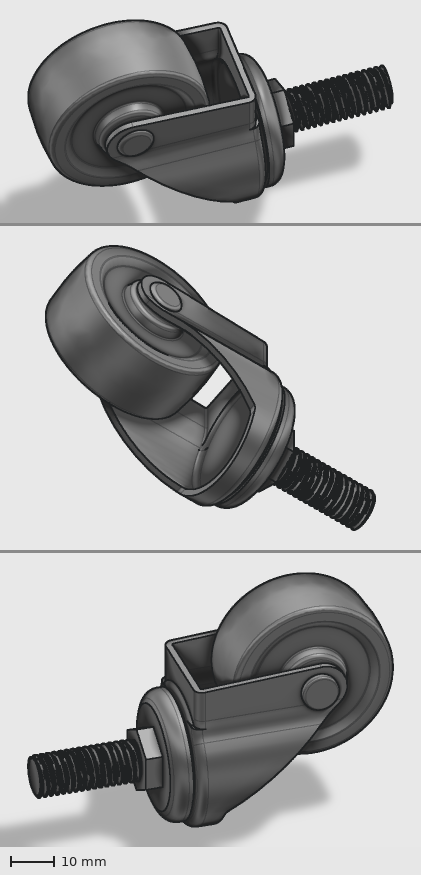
import cadquery as cq
import math


CUP_DIAMETER = 35.0
CUP_RADIUS = CUP_DIAMETER / 2
WALL = 1.6
CUP_OUTER_ROUND = 2.0
CUP_INNER_ROUND = 1.4
ARM_OUTER_HALF_WIDTH = 12.5
ARM_BLEND_RADIUS = 8.2
ARM_BACK_STEP = 0.8
OUTER_STEP_Z = 13.2
INNER_STEP_Z = 8.9
ARM_OUTER_ROUND = 2.1
ARM_INNER_ROUND = ARM_OUTER_ROUND - WALL
ARM_BACK_HEIGHT = 22.7
ARM_END_RADIUS = 5.95
ARM_END_PAST_AXLE = 0.9
LIP_LENGTH = 5.7
LIP_NOTCH_DEPTH = 7.1
LIP_NOTCH_Z = -8.5
LIP_NOTCH_ROUND = 1.7

AXLE_Y = -30.45
AXLE_Z = 18.55
AXLE_RADIUS = 3.0
HEAD_RADIUS = 4.4
HEAD_LENGTH = 2.0
HEAD_ROUND = 0.5
RIVET_LENGTH = 0.8
RIVET_FACE_RADIUS = 3.4
RIVET_BULGE = 0.2

WHEEL_RADIUS = 20.0
WHEEL_HALF_WIDTH = 8.7
TREAD_SHOULDER_RADIUS = 19.4
TREAD_EDGE_ROUND = 1.2
RECESS_RIM_RADIUS = 15.9
RECESS_FLOOR_RADIUS = 13.95
RECESS_DEPTH = 1.4
RECESS_ROUND = 0.4
HUB_BASE_RADIUS = 8.4
HUB_SHOULDER_RADIUS = 7.65
HUB_HALF_WIDTH = 10.2
HUB_ROUND = 1.2

NECK_LENGTH = 0.9
NECK_FORK_RADIUS = 13.6
NECK_COLLAR_RADIUS = 14.5
COLLAR_RADIUS = 15.7
COLLAR_LENGTH = 4.7
COLLAR_RIM_LENGTH = 1.1
COLLAR_FACE_RADIUS = 12.7
COLLAR_BEVEL_RADIUS = 13.8
COLLAR_BEVEL_DEPTH = 0.5
HEX_CORNER_DIAMETER = 16.25
HEX_LENGTH = 4.1
THREAD_LENGTH = 24.9
THREAD_DIAMETER = 10.0
THREAD_PITCH = 1.5
THREAD_DEPTH = 0.9
THREAD_CREST_SHARE = 1 / 8
THREAD_ROOT_SHARE = 1 / 8
FLANK_CURVE_STEPS = 4

COLLAR_Y = NECK_LENGTH
HEX_Y = COLLAR_Y + COLLAR_LENGTH
THREAD_Y = HEX_Y + HEX_LENGTH

STOCK_FRONT_Y = AXLE_Y - 2 * ARM_END_RADIUS
STOCK_TOP_Z = AXLE_Z + 2 * ARM_END_RADIUS


def y_cylinder(radius, start_y, length):
    """Cylinder on the stem axis, growing toward +Y."""
    return cq.Workplane("XZ", origin=(0, start_y, 0)).circle(radius).extrude(-length)


def x_cylinder(radius, start_x, length):
    """Cylinder on the wheel axis, growing toward +X."""
    return cq.Workplane("YZ", origin=(start_x, AXLE_Y, AXLE_Z)).circle(radius).extrude(length)


def fork_form(cup_radius, half_width, blend_radius, cup_back, arm_back, step_z, cup_round, arm_round):
    """Round cup below and parallel arm sides above, joined by tangent blends.

    The cup reaches cup_back everywhere; the rest of the outline reaches cup_back below
    step_z and only arm_back above it.
    """
    cup = y_cylinder(cup_radius, STOCK_FRONT_Y, cup_back - STOCK_FRONT_Y)
    cup = cup.faces(">Y").edges().fillet(cup_round)

    blend_x = half_width + blend_radius
    blend_z = math.sqrt((cup_radius + blend_radius) ** 2 - blend_x**2)
    blend_angle = math.atan2(blend_z, blend_x)
    touch_x = cup_radius * math.cos(blend_angle)
    touch_z = cup_radius * math.sin(blend_angle)
    mid_x = blend_x - blend_radius * math.cos(blend_angle / 2)
    mid_z = blend_z - blend_radius * math.sin(blend_angle / 2)

    def full_outline(back_y, edge_round):
        outline = (
            cq.Workplane("XZ", origin=(0, back_y, 0))
            .moveTo(half_width, STOCK_TOP_Z)
            .lineTo(half_width, blend_z)
            .threePointArc((mid_x, mid_z), (touch_x, touch_z))
            .threePointArc((0, -cup_radius), (-touch_x, touch_z))
            .threePointArc((-mid_x, mid_z), (-half_width, blend_z))
            .lineTo(-half_width, STOCK_TOP_Z)
            .close()
            .extrude(back_y - STOCK_FRONT_Y)
        )
        return outline.faces(">Y").edges("not |X").fillet(edge_round)

    above_step = (
        cq.Workplane("XY", origin=(0, 0, step_z))
        .rect(CUP_DIAMETER, -2 * STOCK_FRONT_Y)
        .extrude(STOCK_TOP_Z)
    )
    lower = full_outline(cup_back, cup_round).cut(above_step)
    upper = full_outline(arm_back, arm_round).intersect(above_step)
    return lower.union(upper).union(cup)


def tangent_point(point, center, radius, side):
    """Point where the line from an outside point touches a circle; side is +1 or -1."""
    dy = point[0] - center[0]
    dz = point[1] - center[1]
    angle = math.atan2(dz, dy) + side * math.acos(radius / math.hypot(dy, dz))
    return (center[0] + radius * math.cos(angle), center[1] + radius * math.sin(angle))


def fork_side_trim():
    """Side outline of the fork, extruded across its full width."""
    arm_end = (AXLE_Y - ARM_END_PAST_AXLE, AXLE_Z)
    notch = (-LIP_NOTCH_DEPTH, LIP_NOTCH_Z)
    back_top = (-ARM_BACK_STEP, ARM_BACK_HEIGHT)
    lower_touch = tangent_point(notch, arm_end, ARM_END_RADIUS, -1)
    upper_touch = tangent_point(back_top, arm_end, ARM_END_RADIUS, 1)
    trim = (
        cq.Workplane("YZ", origin=(-CUP_RADIUS, 0, 0))
        .moveTo(0, -CUP_RADIUS)
        .lineTo(-LIP_LENGTH, -CUP_RADIUS)
        .lineTo(*notch)
        .lineTo(*lower_touch)
        .threePointArc((arm_end[0] - ARM_END_RADIUS, arm_end[1]), upper_touch)
        .lineTo(*back_top)
        .lineTo(0, ARM_BACK_HEIGHT)
        .close()
        .extrude(CUP_DIAMETER)
    )
    notch_edge = cq.selectors.NearestToPointSelector((0, *notch))
    return trim.edges("|X").edges(notch_edge).fillet(LIP_NOTCH_ROUND)


def make_fork():
    """Pressed sheet fork: the outer form less the inner form, trimmed to its side outline."""
    outside = fork_form(
        CUP_RADIUS,
        ARM_OUTER_HALF_WIDTH,
        ARM_BLEND_RADIUS,
        0,
        -ARM_BACK_STEP,
        OUTER_STEP_Z,
        CUP_OUTER_ROUND,
        ARM_OUTER_ROUND,
    )
    inside = fork_form(
        CUP_RADIUS - WALL,
        ARM_OUTER_HALF_WIDTH - WALL,
        ARM_BLEND_RADIUS + WALL,
        -WALL,
        -ARM_BACK_STEP - WALL,
        INNER_STEP_Z,
        CUP_INNER_ROUND,
        ARM_INNER_ROUND,
    )
    return outside.cut(inside).intersect(fork_side_trim())


def make_collar():
    """Flanged collar with a rounded, beveled back edge, on a tapered neck."""
    profile = (
        cq.Workplane("XY")
        .lineTo(NECK_FORK_RADIUS, 0)
        .lineTo(NECK_COLLAR_RADIUS, COLLAR_Y)
        .lineTo(COLLAR_RADIUS, COLLAR_Y)
        .lineTo(COLLAR_RADIUS, COLLAR_Y + COLLAR_RIM_LENGTH)
        .tangentArcPoint((COLLAR_BEVEL_RADIUS, HEX_Y - COLLAR_BEVEL_DEPTH), relative=False)
        .lineTo(COLLAR_FACE_RADIUS, HEX_Y)
        .lineTo(0, HEX_Y)
        .close()
    )
    return profile.revolve(360, (0, 0, 0), (0, 1, 0))


def make_hex():
    """Hex with two corners in line with the Z axis."""
    return (
        cq.Workplane("XZ", origin=(0, HEX_Y, 0))
        .transformed(rotate=(0, 0, 90))
        .polygon(6, HEX_CORNER_DIAMETER)
        .extrude(-HEX_LENGTH)
    )


def polar_point(radius, turn):
    """Point at a radius and a fraction of a full turn."""
    return (radius * math.cos(2 * math.pi * turn), radius * math.sin(2 * math.pi * turn))


def make_threaded_stem():
    """Single-start right-hand thread: its one-lobed cross-section twisted along the stem axis.

    Going round the section, the radius stays at the crest, falls evenly along one flank,
    stays at the root and rises evenly along the other flank.
    """
    crest = THREAD_DIAMETER / 2
    root = crest - THREAD_DEPTH
    flank_start = THREAD_CREST_SHARE / 2
    flank_end = (1 - THREAD_ROOT_SHARE) / 2

    def flank_point(fraction, side):
        turn = flank_start + fraction * (flank_end - flank_start)
        return polar_point(crest - fraction * THREAD_DEPTH, side * turn)

    section = (
        cq.Workplane("XY")
        .moveTo(*flank_point(0, -1))
        .threePointArc((crest, 0), flank_point(0, 1))
        .parametricCurve(lambda u: flank_point(u, 1), N=FLANK_CURVE_STEPS, makeWire=False)
        .threePointArc((-root, 0), flank_point(1, -1))
        .parametricCurve(lambda u: flank_point(1 - u, -1), N=FLANK_CURVE_STEPS, makeWire=False)
        .close()
    )
    upright_stem = section.twistExtrude(THREAD_LENGTH, 360 * THREAD_LENGTH / THREAD_PITCH)
    return upright_stem.rotate((0, 0, 0), (1, 0, 0), -90).translate((0, THREAD_Y, 0))


def make_frame(axle):
    """Fork, collar, hex and stem in one piece; the axle leaves its holes and head seats in the arms."""
    fork = make_fork().cut(axle)
    return fork.union(make_collar()).union(make_hex()).union(make_threaded_stem())


def round_rims(wheel, x, radius, edge_round):
    """Fillet the two circular edges of a radius that lie at +x and -x."""
    rims = [
        edge
        for edge in wheel.edges("%CIRCLE").vals()
        if math.isclose(abs(edge.Center().x), x, abs_tol=0.01)
        and math.isclose(edge.radius(), radius, abs_tol=0.01)
    ]
    return wheel.newObject(rims).fillet(edge_round)


def make_wheel():
    """Crowned wheel with a dished web and a raised hub on both sides."""
    web_x = WHEEL_HALF_WIDTH - RECESS_DEPTH
    wheel = (
        cq.Workplane("XY")
        .moveTo(-HUB_HALF_WIDTH, AXLE_RADIUS)
        .lineTo(-HUB_HALF_WIDTH, HUB_SHOULDER_RADIUS)
        .lineTo(-web_x, HUB_BASE_RADIUS)
        .lineTo(-web_x, RECESS_FLOOR_RADIUS)
        .lineTo(-WHEEL_HALF_WIDTH, RECESS_RIM_RADIUS)
        .lineTo(-WHEEL_HALF_WIDTH, TREAD_SHOULDER_RADIUS)
        .threePointArc((0, WHEEL_RADIUS), (WHEEL_HALF_WIDTH, TREAD_SHOULDER_RADIUS))
        .lineTo(WHEEL_HALF_WIDTH, RECESS_RIM_RADIUS)
        .lineTo(web_x, RECESS_FLOOR_RADIUS)
        .lineTo(web_x, HUB_BASE_RADIUS)
        .lineTo(HUB_HALF_WIDTH, HUB_SHOULDER_RADIUS)
        .lineTo(HUB_HALF_WIDTH, AXLE_RADIUS)
        .close()
        .revolve(360, (0, 0, 0), (1, 0, 0))
    )
    wheel = round_rims(wheel, WHEEL_HALF_WIDTH, TREAD_SHOULDER_RADIUS, TREAD_EDGE_ROUND)
    wheel = round_rims(wheel, HUB_HALF_WIDTH, HUB_SHOULDER_RADIUS, HUB_ROUND)
    wheel = round_rims(wheel, WHEEL_HALF_WIDTH, RECESS_RIM_RADIUS, RECESS_ROUND)
    wheel = round_rims(wheel, web_x, RECESS_FLOOR_RADIUS, RECESS_ROUND)
    wheel = round_rims(wheel, web_x, HUB_BASE_RADIUS, RECESS_ROUND)
    return wheel.translate((0, AXLE_Y, AXLE_Z))


def make_axle():
    """Pin through both arms with a flat head at -X and a low rivet head at +X."""
    shaft = x_cylinder(AXLE_RADIUS, -ARM_OUTER_HALF_WIDTH, 2 * ARM_OUTER_HALF_WIDTH)
    head = x_cylinder(HEAD_RADIUS, -ARM_OUTER_HALF_WIDTH - HEAD_LENGTH, HEAD_LENGTH)
    head = head.edges().fillet(HEAD_ROUND)
    rivet_face_x = ARM_OUTER_HALF_WIDTH + RIVET_LENGTH
    rivet = (
        cq.Workplane("XY")
        .moveTo(ARM_OUTER_HALF_WIDTH, 0)
        .lineTo(ARM_OUTER_HALF_WIDTH, HEAD_RADIUS)
        .sagittaArc((rivet_face_x, RIVET_FACE_RADIUS), RIVET_BULGE)
        .lineTo(rivet_face_x, 0)
        .close()
        .revolve(360, (0, 0, 0), (1, 0, 0))
        .translate((0, AXLE_Y, AXLE_Z))
    )
    return shaft.union(head).union(rivet)


axle = make_axle()
wheel = make_wheel()
frame = make_frame(axle)

result = cq.Compound.makeCompound([frame.val(), wheel.val(), axle.val()])